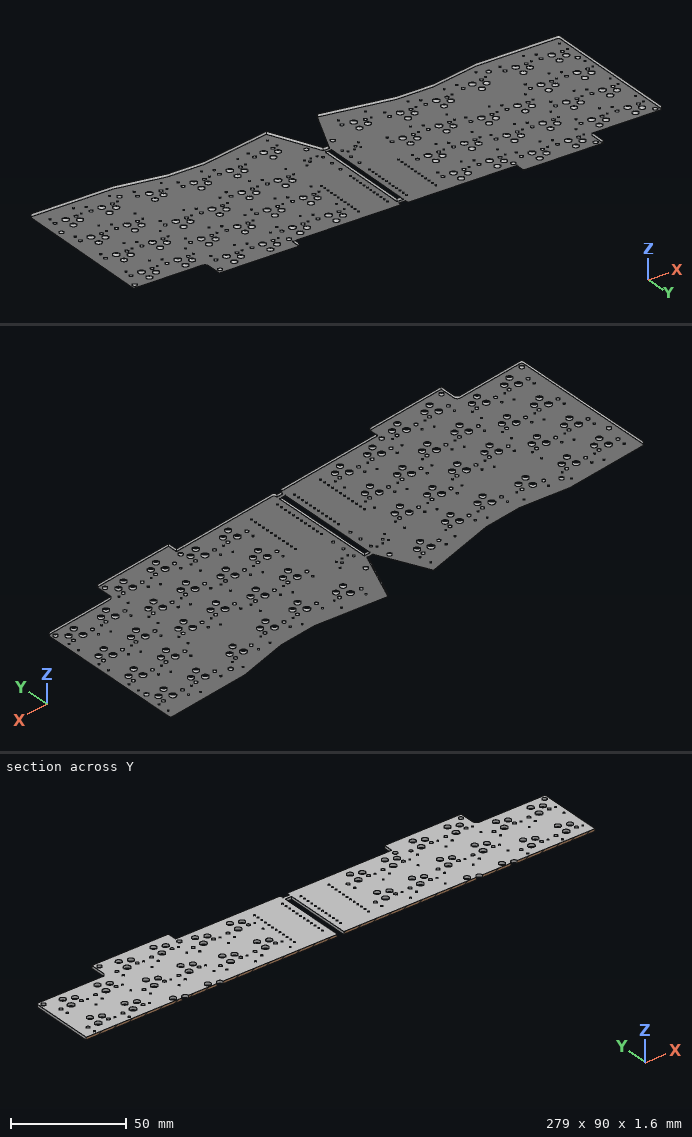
import cadquery as cq
import math


BOARD_LENGTH = 279.0
BOARD_WIDTH = 90.0
THICKNESS = 1.6
CORNER_RADIUS = 1.0
INNER_CORNER_RADIUS = 2.0

TAB_OUTER_X = 101.3
TAB_INNER_X = 59.2
TAB_HEIGHT = 10.0
LEG_TIP_X = 13.5
LEG_HEIGHT = 6.7
LEG_OVERHANG = 2.1
ARCH_FOOT_X = 95.7
END_TOP_Y = BOARD_WIDTH / 2 - TAB_HEIGHT
MIDDLE_TOP_Y = BOARD_WIDTH / 2 - TAB_HEIGHT / 2
ARCH_TOP_Y = LEG_HEIGHT - BOARD_WIDTH / 2
END_BOTTOM_Y = LEG_OVERHANG - BOARD_WIDTH / 2
ARCH_ANGLE = math.radians(10.2)

GAP_WIDTH = 3.3
SLOT_TOP_Y = 36.5
SLOT_BOTTOM_Y = -17.3
BRIDGE_WIDTH = 1.75

OUTER_COLUMN_SPREAD = 256.5
INNER_COLUMN_SPREAD = 65.9
COLUMN_COUNT = 6
ROW_COUNT = 4
OUTER_COLUMN_X = OUTER_COLUMN_SPREAD / 2
INNER_COLUMN_X = INNER_COLUMN_SPREAD / 2
KEY_PITCH = (OUTER_COLUMN_X - INNER_COLUMN_X) / (COLUMN_COUNT - 1)
STAGGER = KEY_PITCH / 4
COLUMN_LIFTS = [0, 0, 2 * STAGGER, 2 * STAGGER, STAGGER, STAGGER]
TOP_KEY_MARGIN = 10.5
TOP_ROW_RISE = (ROW_COUNT - 1) * KEY_PITCH + max(COLUMN_LIFTS)
BOTTOM_ROW_Y = BOARD_WIDTH / 2 - TOP_KEY_MARGIN - TOP_ROW_RISE
THUMB_X = 45.0
TURNED_KEY_ANGLE = 10
TURNED_KEY_GAP = 21.2
OUTER_TURNED_KEY_RISE = 1.62

SWITCH_POST_DIAMETER = 3.3
CONTACT_DIAMETER = 3.0
FAR_CONTACT_Y = 5.9
CONTACT_STEP_X = 5.0
CONTACT_STEP_Y = 2.15
CONTACTS = [(0, FAR_CONTACT_Y), (CONTACT_STEP_X, FAR_CONTACT_Y - CONTACT_STEP_Y)]
SIDE_POST_DIAMETER = 1.7
SIDE_POST_SPREAD = 11.2
LOCATING_PIN_DIAMETER = 1.0
LOCATING_PIN = (-5.3, -4.2)
LEAD_DIAMETER = 0.8
DIODE_X = 8.7
DIODE_TOP_Y = -0.5
DIODE_LENGTH = 5.9

HEADER_PIN_COUNT = 12
HEADER_PIN_PITCH = 2.55
HEADER_TOP_Y = 34.3
HEADER_ROWS_X = [5.0, 20.5]

RESET_DIAMETER = 1.3
RESET_X = 5.0
RESET_YS = [-1.0, -7.5]

JACK_Y = -14.2
JACK_POST_DIAMETER = 1.2
JACK_POSTS_X = [5.0, 12.0]
JACK_PIN_OFFSET_Y = 2.1
JACK_SINGLE_PIN_X = 15.0
JACK_PINS_X = [6.7, 10.0, 13.5]

MOUNT_DIAMETER = 2.3
MOUNTS = [(137.3, 32.6), (99.0, 42.5), (59.2, 37.5), (136.2, -24.0), (97.5, -35.7), (7.0, -24.0)]

SIDES = (-1, 1)


def rotated(point, degrees):
    angle = math.radians(degrees)
    x, y = point
    return (
        x * math.cos(angle) - y * math.sin(angle),
        x * math.sin(angle) + y * math.cos(angle),
    )


def half_outline():
    """Corners of the right half, clockwise from the notch above the gap to the foot of the gap."""
    half_length = BOARD_LENGTH / 2
    half_width = BOARD_WIDTH / 2
    half_gap = GAP_WIDTH / 2
    arch_rise = ARCH_TOP_Y - END_BOTTOM_Y
    leg_drop = ARCH_TOP_Y + half_width
    return [
        (half_gap, SLOT_TOP_Y + BRIDGE_WIDTH),
        (half_gap, MIDDLE_TOP_Y),
        (TAB_INNER_X, MIDDLE_TOP_Y),
        (TAB_INNER_X, half_width),
        (TAB_OUTER_X, half_width),
        (TAB_OUTER_X, END_TOP_Y),
        (half_length, END_TOP_Y),
        (half_length, END_BOTTOM_Y),
        (ARCH_FOOT_X, END_BOTTOM_Y),
        (ARCH_FOOT_X - arch_rise / math.tan(ARCH_ANGLE), ARCH_TOP_Y),
        (LEG_TIP_X + leg_drop / math.tan(ARCH_ANGLE), ARCH_TOP_Y),
        (LEG_TIP_X, -half_width),
        (half_gap, SLOT_BOTTOM_Y - BRIDGE_WIDTH),
    ]


def vertical_edges_at(points):
    """Selects the board's vertical edges through the given points of both halves."""
    selector = None
    reach = CORNER_RADIUS / 2
    for x, y in points:
        for side in SIDES:
            box = cq.selectors.BoxSelector(
                (side * x - reach, y - reach, -THICKNESS),
                (side * x + reach, y + reach, 2 * THICKNESS),
            )
            selector = box if selector is None else selector + box
    return cq.selectors.AndSelector(cq.selectors.ParallelDirSelector(cq.Vector(0, 0, 1)), selector)


def board():
    right = half_outline()
    left = [(-x, y) for x, y in reversed(right)]
    plate = cq.Workplane().polyline(right + left).close().extrude(THICKNESS)
    half_length = BOARD_LENGTH / 2
    rounded_corners = [
        (half_length, END_TOP_Y),
        (half_length, END_BOTTOM_Y),
        (GAP_WIDTH / 2, MIDDLE_TOP_Y),
    ]
    plate = plate.edges(vertical_edges_at(rounded_corners)).fillet(CORNER_RADIUS)
    plate = plate.edges(vertical_edges_at([(TAB_OUTER_X, END_TOP_Y)])).fillet(INNER_CORNER_RADIUS)
    slot = (
        cq.Workplane()
        .center(0, (SLOT_TOP_Y + SLOT_BOTTOM_Y) / 2)
        .rect(GAP_WIDTH, SLOT_TOP_Y - SLOT_BOTTOM_Y)
        .extrude(THICKNESS)
    )
    return plate.cut(slot)


def key_places():
    """Middle and turn in degrees of every key."""
    places = []
    for side in SIDES:
        for column, lift in enumerate(COLUMN_LIFTS):
            x = OUTER_COLUMN_X - column * KEY_PITCH
            first_row = 0 if lift == 0 else 1
            for row in range(first_row, ROW_COUNT):
                y = BOTTOM_ROW_Y + row * KEY_PITCH + lift
                places.append((side * x, y, 0))
        outer_thumb_x = THUMB_X + KEY_PITCH
        for x in (THUMB_X, outer_thumb_x):
            places.append((side * x, BOTTOM_ROW_Y + STAGGER, 0))
        outer_x = outer_thumb_x + TURNED_KEY_GAP
        outer_y = BOTTOM_ROW_Y + OUTER_TURNED_KEY_RISE
        inner_x = THUMB_X - TURNED_KEY_GAP
        places.append((side * outer_x, outer_y, -side * TURNED_KEY_ANGLE))
        places.append((side * inner_x, BOTTOM_ROW_Y, side * TURNED_KEY_ANGLE))
    return places


def key_holes():
    """Holes of all keys as (x, y, diameter)."""
    pattern = [(0, 0, SWITCH_POST_DIAMETER)]
    pattern += [(x, y, CONTACT_DIAMETER) for x, y in CONTACTS]
    pattern += [(side * SIDE_POST_SPREAD / 2, 0, SIDE_POST_DIAMETER) for side in SIDES]
    pattern += [(*LOCATING_PIN, LOCATING_PIN_DIAMETER)]
    pattern += [(DIODE_X, y, LEAD_DIAMETER) for y in (DIODE_TOP_Y, DIODE_TOP_Y - DIODE_LENGTH)]
    holes = []
    for key_x, key_y, turn in key_places():
        for x, y, diameter in pattern:
            dx, dy = rotated((x, y), turn)
            holes.append((key_x + dx, key_y + dy, diameter))
    return holes


def header_holes():
    return [
        (side * x, HEADER_TOP_Y - pin * HEADER_PIN_PITCH, LEAD_DIAMETER)
        for side in SIDES
        for x in HEADER_ROWS_X
        for pin in range(HEADER_PIN_COUNT)
    ]


def reset_holes():
    return [(side * RESET_X, y, RESET_DIAMETER) for side in SIDES for y in RESET_YS]


def jack_holes():
    """The same jack in both halves, turned half a turn from one to the other."""
    holes = []
    for side in SIDES:
        holes += [(side * x, JACK_Y, JACK_POST_DIAMETER) for x in JACK_POSTS_X]
        row_y = JACK_Y + side * JACK_PIN_OFFSET_Y
        holes += [(side * x, row_y, LEAD_DIAMETER) for x in JACK_PINS_X]
        single_y = JACK_Y - side * JACK_PIN_OFFSET_Y
        holes.append((side * JACK_SINGLE_PIN_X, single_y, LEAD_DIAMETER))
    return holes


def mount_holes():
    return [(side * x, y, MOUNT_DIAMETER) for side in SIDES for x, y in MOUNTS]


def drilled(plate, holes):
    for diameter in sorted({hole[2] for hole in holes}):
        places = [(x, y) for x, y, size in holes if size == diameter]
        drills = cq.Workplane().pushPoints(places).circle(diameter / 2).extrude(THICKNESS)
        plate = plate.cut(drills)
    return plate


result = drilled(
    board(),
    key_holes() + header_holes() + reset_holes() + jack_holes() + mount_holes(),
)